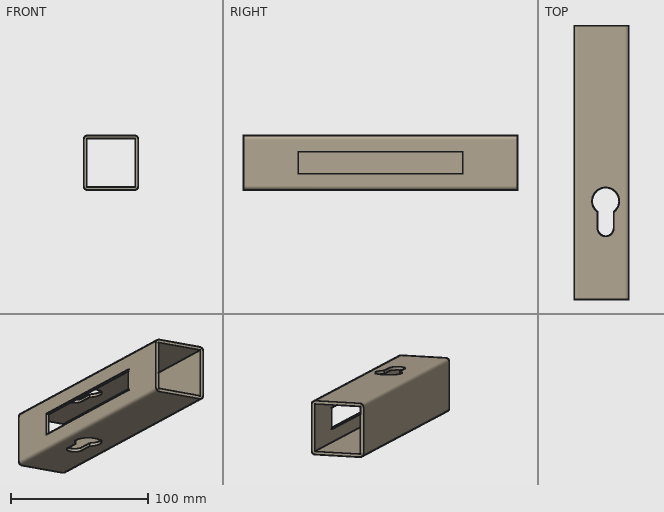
import cadquery as cq

length = 200
side = 40
wall = 2.5
corner_radius = 3.0

keyhole_x = 3.0
round_diameter = 19.5
round_y = -28.0
slot_width = 11.5
slot_end_y = -53.5

opening_length = 120
opening_height = 16


def square_tube():
    outer = cq.Workplane("XY").box(side, length, side).edges("|Y").fillet(corner_radius)
    bore_side = side - 2 * wall
    return outer.cut(cq.Workplane("XY").box(bore_side, length, bore_side))


def keyhole_cutter():
    slot_end_center_y = slot_end_y + slot_width / 2
    slot_length = round_y - slot_end_center_y
    base = cq.Workplane("XY", origin=(keyhole_x, 0, -side / 2))
    round_part = base.center(0, round_y).circle(round_diameter / 2).extrude(side)
    slot = base.center(0, slot_end_center_y + slot_length / 2).rect(slot_width, slot_length).extrude(side)
    slot_end = base.center(0, slot_end_center_y).circle(slot_width / 2).extrude(side)
    return round_part.union(slot).union(slot_end)


def opening_cutter():
    wall_center_x = (side - wall) / 2
    cutter_depth = 2 * wall
    return cq.Workplane("XY").center(wall_center_x, 0).box(cutter_depth, opening_length, opening_height)


result = square_tube().cut(keyhole_cutter()).cut(opening_cutter())